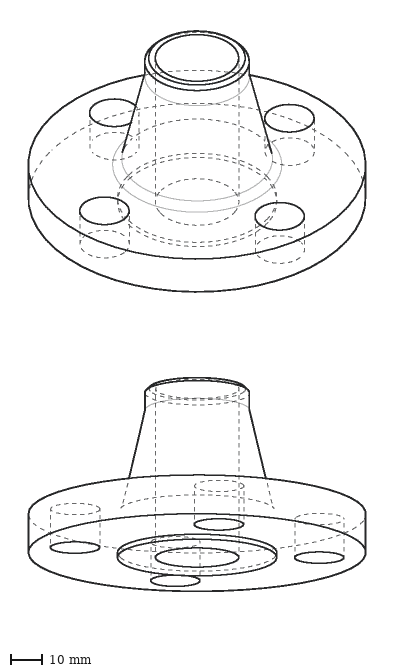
import cadquery as cq

flange_diameter = 107.9
flange_top = 14.4
face_diameter = 50.9
face_height = 1.6

bolt_circle_diameter = 79.3
bolt_hole_diameter = 15.8
bolt_hole_count = 4

total_height = 55.5
bore_diameter = 26.7
pipe_diameter = 33.5
stub_height = 7.0
bevel_size = 1.3
neck_base_diameter = 49.3
neck_root_fillet = 3.0


def make_flange():
    """Raised face and flange plate stacked from Z = 0."""
    face = cq.Workplane("XY").circle(face_diameter / 2).extrude(face_height)
    plate = (
        cq.Workplane("XY")
        .workplane(offset=face_height)
        .circle(flange_diameter / 2)
        .extrude(flange_top - face_height)
    )
    return face.union(plate)


def make_neck():
    """Revolved neck on top of the plate: cone, straight stub and bevel."""
    pipe_radius = pipe_diameter / 2
    profile = (
        cq.Workplane("XZ")
        .moveTo(0, flange_top)
        .lineTo(neck_base_diameter / 2, flange_top)
        .lineTo(pipe_radius, total_height - stub_height)
        .lineTo(pipe_radius, total_height - bevel_size)
        .lineTo(pipe_radius - bevel_size, total_height)
        .lineTo(0, total_height)
        .close()
    )
    return profile.revolve(360, (0, 0, 0), (0, 1, 0))


def blend_neck_root(body):
    """Fillet the circle where the cone meets the plate."""
    root_edge = cq.selectors.RadiusNthSelector(0)
    plate_top = body.faces(">Z[-2]")
    return plate_top.edges(root_edge).fillet(neck_root_fillet)


def cut_holes(body):
    """Cut the central bore and the ring of bolt holes right through."""
    bore = cq.Workplane("XY").circle(bore_diameter / 2).extrude(total_height)
    bolt_holes = (
        cq.Workplane("XY")
        .polarArray(bolt_circle_diameter / 2, 0, 360, bolt_hole_count)
        .circle(bolt_hole_diameter / 2)
        .extrude(total_height)
    )
    return body.cut(bore).cut(bolt_holes)


solid_flange = make_flange().union(make_neck())
result = cut_holes(blend_neck_root(solid_flange))